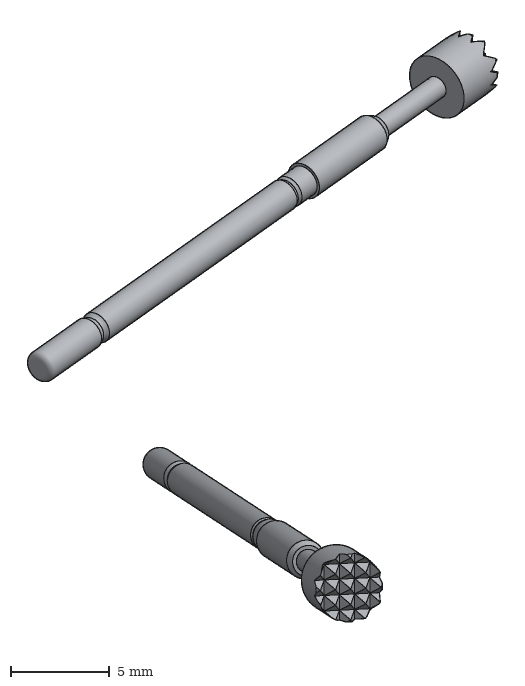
import cadquery as cq
import math

total_length = 36.0

head_radius = 1.75
plunger_radius = 0.6
collar_radius = 1.0
barrel_radius = 0.85

head_length = 3.0
plunger_length = 5.0
collar_length = 6.0
collar_chamfer_length = 0.4
collar_chamfer_depth = 0.2
tail_fillet = 0.35

front_crimp = (15.45, 0.4, 0.08)
rear_crimp = (31.5, 0.65, 0.12)
crimp_flank_radius = 0.8

tooth_pitch = 0.8
tooth_angle = 60.0
tooth_depth = tooth_pitch / 2 / math.tan(math.radians(tooth_angle / 2))
grooves_per_side = math.ceil(head_radius / tooth_pitch)

head_back = total_length - head_length
collar_front = head_back - plunger_length
collar_back = collar_front - collar_length


def make_body():
    """Revolve the stepped half profile about the Y axis."""
    profile = (
        cq.Workplane("XY")
        .moveTo(0, 0)
        .lineTo(barrel_radius - tail_fillet, 0)
        .radiusArc((barrel_radius, tail_fillet), -tail_fillet)
        .lineTo(barrel_radius, collar_back)
        .lineTo(collar_radius, collar_back)
        .lineTo(collar_radius, collar_front - collar_chamfer_length)
        .lineTo(collar_radius - collar_chamfer_depth, collar_front)
        .lineTo(plunger_radius, collar_front)
        .lineTo(plunger_radius, head_back)
        .lineTo(head_radius, head_back)
        .lineTo(head_radius, total_length)
        .lineTo(0, total_length)
        .close()
    )
    return profile.revolve(360, (0, 0, 0), (0, 1, 0))


def make_crimp(distance_from_tip, width, depth):
    """Ring that cuts a groove with two hollow flanks meeting in a crease."""
    middle = total_length - distance_from_tip
    half_width = width / 2
    section = (
        cq.Workplane("XY")
        .moveTo(barrel_radius, middle - half_width)
        .radiusArc((barrel_radius - depth, middle), crimp_flank_radius)
        .radiusArc((barrel_radius, middle + half_width), crimp_flank_radius)
        .lineTo(collar_radius, middle + half_width)
        .lineTo(collar_radius, middle - half_width)
        .close()
    )
    return section.revolve(360, (0, 0, 0), (0, 1, 0))


def make_tooth_groove(offset):
    """V groove running along Z across the head, with its valley at X = offset."""
    return (
        cq.Workplane("XY")
        .moveTo(offset, total_length - tooth_depth)
        .lineTo(offset + tooth_pitch / 2, total_length)
        .lineTo(offset - tooth_pitch / 2, total_length)
        .close()
        .extrude(2 * head_radius, both=True)
    )


def cut_serrations(body):
    """Cut the same row of V grooves along Z and along X."""
    for index in range(-grooves_per_side, grooves_per_side):
        groove = make_tooth_groove((index + 0.5) * tooth_pitch)
        body = body.cut(groove)
        body = body.cut(groove.rotate((0, 0, 0), (0, 1, 0), 90))
    return body


result = make_body()
for crimp in (front_crimp, rear_crimp):
    result = result.cut(make_crimp(*crimp))
result = cut_serrations(result)